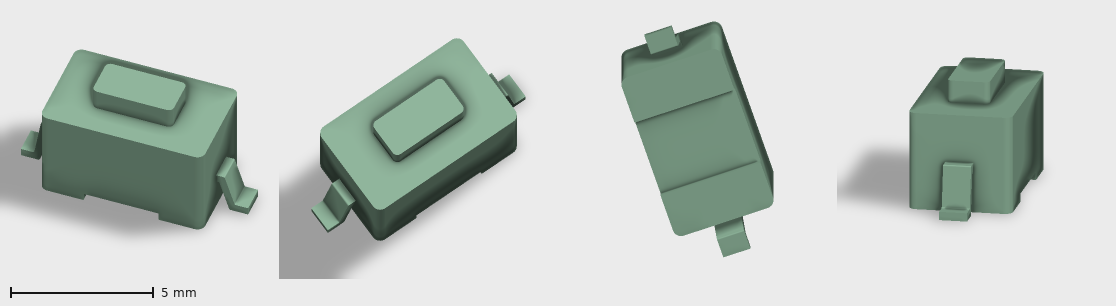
import cadquery as cq

body_length = 6.1
body_width = 3.7
body_height = 3.5
body_corner_radius = 0.3

button_length = 3.0
button_width = 1.5
button_height = 0.8
button_corner_radius = 0.2

channel_length = 2.8
channel_depth = 0.3

overall_length = 8.5
lead_width = 1.0
lead_thickness = 0.3
lead_web_thickness = 0.2
lead_bend_radius = 0.05
foot_length = 0.7
left_lead_height = 1.8
left_shoulder_length = 0.45
right_lead_height = 1.5
right_shoulder_length = 0.32


def rounded_block(length, width, height, corner_radius, base_z):
    """Upright block with rounded vertical edges."""
    block = cq.Workplane("XY").workplane(offset=base_z).rect(length, width).extrude(height)
    return block.edges("|Z").fillet(corner_radius)


def make_housing():
    housing = rounded_block(body_length, body_width, body_height, body_corner_radius, 0)
    channel = cq.Workplane("XY").rect(channel_length, body_width).extrude(channel_depth)
    return housing.cut(channel)


def make_lead(side, lead_height, shoulder_length):
    """Lead on the +X (side = 1) or -X (side = -1) end: shoulder, sloping web and foot."""
    wall = body_length / 2
    tip = overall_length / 2
    shoulder_end = wall + shoulder_length
    foot_start = tip - foot_length
    outline = [
        (wall, lead_height),
        (shoulder_end, lead_height),
        (foot_start + lead_web_thickness, lead_thickness),
        (tip, lead_thickness),
        (tip, 0),
        (foot_start, 0),
        (shoulder_end - lead_web_thickness, lead_height - lead_thickness),
        (wall, lead_height - lead_thickness),
    ]
    lead = (
        cq.Workplane("XZ")
        .polyline([(side * x, z) for x, z in outline])
        .close()
        .extrude(lead_width / 2, both=True)
    )
    bend_zone = cq.selectors.BoxSelector(
        (side * (wall + lead_bend_radius), -lead_width, -lead_thickness),
        (side * (tip - lead_bend_radius), lead_width, lead_height + lead_thickness),
    )
    return lead.edges("|Y").edges(bend_zone).fillet(lead_bend_radius)


button = rounded_block(button_length, button_width, button_height, button_corner_radius, body_height)
left_lead = make_lead(-1, left_lead_height, left_shoulder_length)
right_lead = make_lead(1, right_lead_height, right_shoulder_length)

result = make_housing().union(button).union(left_lead).union(right_lead)